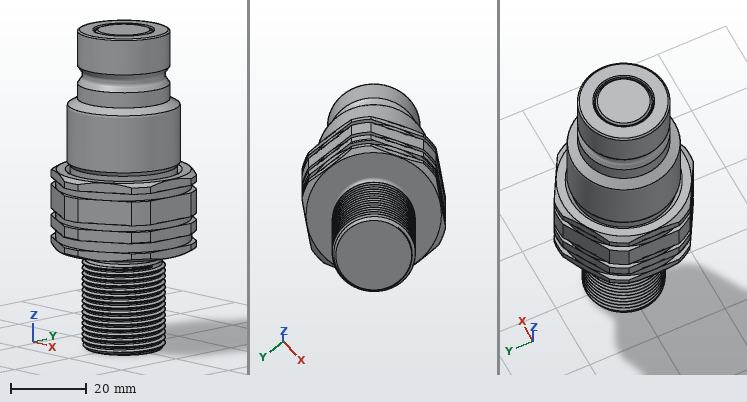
import cadquery as cq
import math

TOTAL_HEIGHT = 86.0

HEAD_RADIUS = 24.5 / 2
HEAD_EDGE_RADIAL = 0.5
HEAD_EDGE_HEIGHT = 0.35
HEAD_BOTTOM = 76.4
GROOVE_RADIUS = 22.0 / 2
GROOVE_FLANK_RADIUS = 11.5
GROOVE_FILLET = 1.3
GROOVE_UPPER_FLANK_END = 75.3
GROOVE_FLOOR_TOP = 74.4
GROOVE_FLOOR_BOTTOM = 73.5
GROOVE_LOWER_FLANK_START = 72.6
COLLAR_TOP = 71.8
COLLAR_TOP_RADIUS = 12.0
COLLAR_EDGE_HEIGHT = 0.3
COLLAR_BOTTOM = 67.4
BARREL_RADIUS = 30.1 / 2
BARREL_SHOULDER_RADIUS = 14.9
BARREL_SHOULDER = 65.9
BARREL_TOP = 65.3
BARREL_BOTTOM = 50.5
NECK_RADIUS = 28.4 / 2
NECK_TOP = 49.4
NECK_BOTTOM = 37.1

POPPET_RADIUS = 15.0 / 2
POPPET_EDGE = 0.5
POPPET_DEPTH = 6.9
POPPET_BORE_RADIUS = 15.65 / 2
POPPET_BORE_EDGE = 0.35

ACROSS_FLATS = 36.0
HEX_HALF_ANGLE = 180 / 6
CORNER_RADIUS = 39.0 / 2
HEX_BOTTOM = 27.0
HEX_TOP = 48.25
HEX_FACE_RADIUS = 17.9
HEX_CHAMFER_ANGLE = 30
BAND_GROOVES = [(29.5, 32.2), (35.3, 37.1), (43.5, 45.6)]
BAND_EDGE = 0.3
SOCKET_RADIUS = 28.5 / 2
SOCKET_MOUTH_RADIUS = 15.5

STEM_FILLET = 0.9
RELIEF_RADIUS = 19.7 / 2
RELIEF_BOTTOM = 24.6
THREAD_TOP = 23.8
THREAD_RADIUS = 22.0 / 2
THREAD_ROOT_RADIUS = 20.4 / 2
THREAD_START = -0.35
THREAD_RISE = 24.0
THREAD_TURNS = 16
THREAD_PITCH = THREAD_RISE / THREAD_TURNS
THREAD_FLANK_ANGLE = 30
RIDGE_OVERLAP = 0.215
STEM_TIP_RADIUS = 20.0 / 2


def cylinder(radius, bottom, top):
    return cq.Workplane("XY").workplane(offset=bottom).circle(radius).extrude(top - bottom)


def revolve_profile(profile):
    return profile.close().revolve(360, (0, 0, 0), (0, 1, 0))


def make_nipple():
    body = revolve_profile(
        cq.Workplane("XZ")
        .moveTo(0, NECK_BOTTOM)
        .lineTo(NECK_RADIUS, NECK_BOTTOM)
        .lineTo(NECK_RADIUS, NECK_TOP)
        .lineTo(BARREL_RADIUS, BARREL_BOTTOM)
        .lineTo(BARREL_RADIUS, BARREL_TOP)
        .lineTo(BARREL_SHOULDER_RADIUS, BARREL_SHOULDER)
        .lineTo(HEAD_RADIUS, COLLAR_BOTTOM)
        .lineTo(HEAD_RADIUS, COLLAR_TOP - COLLAR_EDGE_HEIGHT)
        .lineTo(COLLAR_TOP_RADIUS, COLLAR_TOP)
        .lineTo(GROOVE_FLANK_RADIUS, GROOVE_LOWER_FLANK_START)
        .radiusArc((GROOVE_RADIUS, GROOVE_FLOOR_BOTTOM), GROOVE_FILLET)
        .lineTo(GROOVE_RADIUS, GROOVE_FLOOR_TOP)
        .radiusArc((GROOVE_FLANK_RADIUS, GROOVE_UPPER_FLANK_END), GROOVE_FILLET)
        .lineTo(HEAD_RADIUS, HEAD_BOTTOM)
        .lineTo(HEAD_RADIUS, TOTAL_HEIGHT - HEAD_EDGE_HEIGHT)
        .lineTo(HEAD_RADIUS - HEAD_EDGE_RADIAL, TOTAL_HEIGHT)
        .lineTo(0, TOTAL_HEIGHT)
    )
    bore = cylinder(POPPET_BORE_RADIUS, TOTAL_HEIGHT - POPPET_DEPTH, TOTAL_HEIGHT)
    rim = cq.selectors.RadiusNthSelector(0)
    return body.cut(bore).faces(">Z").edges(rim).chamfer(POPPET_BORE_EDGE)


def make_poppet():
    poppet = cylinder(POPPET_RADIUS, TOTAL_HEIGHT - POPPET_DEPTH, TOTAL_HEIGHT)
    return poppet.faces(">Z").chamfer(POPPET_EDGE)


def make_hexagon():
    corner_diameter = ACROSS_FLATS / math.cos(math.radians(HEX_HALF_ANGLE))
    prism = (
        cq.Workplane("XY")
        .workplane(offset=HEX_BOTTOM)
        .transformed(rotate=(0, 0, HEX_HALF_ANGLE))
        .polygon(6, corner_diameter)
        .extrude(HEX_TOP - HEX_BOTTOM)
    )
    chamfer_height = (CORNER_RADIUS - HEX_FACE_RADIUS) * math.tan(math.radians(HEX_CHAMFER_ANGLE))
    turned_blank = revolve_profile(
        cq.Workplane("XZ")
        .moveTo(0, HEX_BOTTOM)
        .lineTo(HEX_FACE_RADIUS, HEX_BOTTOM)
        .lineTo(CORNER_RADIUS, HEX_BOTTOM + chamfer_height)
        .lineTo(CORNER_RADIUS, HEX_TOP - chamfer_height)
        .lineTo(HEX_FACE_RADIUS, HEX_TOP)
        .lineTo(0, HEX_TOP)
    )
    return prism.intersect(turned_blank)


def cut_bands(hexagon):
    """Turn the grooves down to the inscribed circle of the hexagon and break one band edge."""
    groove_radius = ACROSS_FLATS / 2
    for bottom, top in BAND_GROOVES:
        ring = cylinder(CORNER_RADIUS, bottom, top).cut(cylinder(groove_radius, bottom, top))
        hexagon = hexagon.cut(ring)
    edge_height = BAND_GROOVES[0][1]
    edge_ring = revolve_profile(
        cq.Workplane("XZ")
        .moveTo(CORNER_RADIUS - BAND_EDGE, edge_height)
        .lineTo(CORNER_RADIUS + BAND_EDGE, edge_height)
        .lineTo(CORNER_RADIUS + BAND_EDGE, edge_height + 2 * BAND_EDGE)
    )
    return hexagon.cut(edge_ring)


def make_thread_ridge():
    """One helical ridge: four ruled flanks between helices, closed by a flat face at each end."""
    crest_half = THREAD_PITCH / 16
    flank_slope = math.tan(math.radians(THREAD_FLANK_ANGLE))
    buried_radius = THREAD_ROOT_RADIUS - RIDGE_OVERLAP
    buried_half = crest_half + (THREAD_RADIUS - buried_radius) * flank_slope

    def helix(radius, shift):
        start = cq.Vector(0, 0, THREAD_START + shift)
        return cq.Wire.makeHelix(THREAD_PITCH, THREAD_RISE, radius, start)

    helices = [
        helix(buried_radius, -buried_half),
        helix(THREAD_RADIUS, -crest_half),
        helix(THREAD_RADIUS, crest_half),
        helix(buried_radius, buried_half),
    ]
    faces = []
    for lower, upper in zip(helices, helices[1:] + helices[:1]):
        faces += cq.Face.makeRuledSurface(lower, upper).Faces()
    for end in (0, 1):
        corners = [wire.positionAt(end) for wire in helices]
        faces.append(cq.Face.makeFromWires(cq.Wire.makePolygon(corners, close=True)))
    return cq.Workplane(cq.Solid.makeSolid(cq.Shell.makeShell(faces)).fix())


def make_stem():
    envelope_radius = THREAD_RADIUS + RIDGE_OVERLAP
    tip_chamfer = envelope_radius - STEM_TIP_RADIUS
    thread_envelope = revolve_profile(
        cq.Workplane("XZ")
        .lineTo(STEM_TIP_RADIUS, 0)
        .lineTo(envelope_radius, tip_chamfer)
        .lineTo(envelope_radius, THREAD_TOP)
        .lineTo(0, THREAD_TOP)
    )
    core = revolve_profile(
        cq.Workplane("XZ")
        .lineTo(STEM_TIP_RADIUS, 0)
        .lineTo(THREAD_ROOT_RADIUS, THREAD_ROOT_RADIUS - STEM_TIP_RADIUS)
        .lineTo(THREAD_ROOT_RADIUS, THREAD_TOP)
        .lineTo(RELIEF_RADIUS, RELIEF_BOTTOM)
        .lineTo(RELIEF_RADIUS, HEX_BOTTOM - STEM_FILLET)
        .radiusArc((RELIEF_RADIUS + STEM_FILLET, HEX_BOTTOM), STEM_FILLET)
        .lineTo(0, HEX_BOTTOM)
    )
    return core.union(make_thread_ridge().intersect(thread_envelope))


def make_adapter():
    mouth_depth = SOCKET_MOUTH_RADIUS - SOCKET_RADIUS
    socket = revolve_profile(
        cq.Workplane("XZ")
        .moveTo(0, NECK_BOTTOM)
        .lineTo(SOCKET_RADIUS, NECK_BOTTOM)
        .lineTo(SOCKET_RADIUS, HEX_TOP - mouth_depth)
        .lineTo(SOCKET_MOUTH_RADIUS, HEX_TOP)
        .lineTo(0, HEX_TOP)
    )
    return cut_bands(make_hexagon()).cut(socket).union(make_stem())


adapter = make_adapter()
nipple = make_nipple()
poppet = make_poppet()

result = cq.Compound.makeCompound([body.solids().val() for body in (adapter, nipple, poppet)])